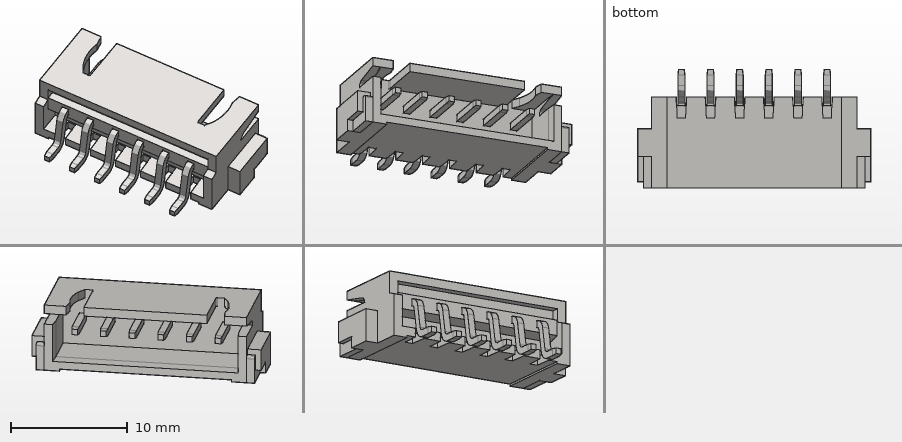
import cadquery as cq
import math


HOUSING_WIDTH = 17.65
HOUSING_DEPTH = 7.85
HOUSING_HEIGHT = 5.95
SHOULDER_SETBACK = 0.72
SHOULDER_TOP = 3.98
SHOULDER_EDGE = 3.75
SIDE_WALL = 0.85
ROOF = 0.78
FLOOR_TOP = 0.95
BASE_RELIEF = 0.18
BASE_RELIEF_WIDTH = 15.0
INNER_WIDTH = HOUSING_WIDTH - 2 * SIDE_WALL
CEILING = HOUSING_HEIGHT - ROOF

BAR_FACE = 0.75
BAR_BOTTOM = 2.78
BAR_TOP = 4.15
UPPER_RECESS_DEPTH = 1.5
LOWER_RECESS_DEPTH = 1.92
LOWER_RECESS_TOP = 2.45

CAVITY_BACK = 3.38
LEAD_IN_LENGTH = 0.95
LEAD_IN = 0.1

KEY_INNER_X = 5.35
KEY_MOUTH_X = 6.9
KEY_NECK_X = 6.75
KEY_BULGE_X = 6.88
KEY_BULGE_Y = 5.88
KEY_TAPER_X = 6.5
KEY_TAPER_Y = 4.1
KEY_END_X = 6.08
KEY_NECK_Y = HOUSING_DEPTH - LEAD_IN_LENGTH
KEY_CORNER_RADIUS = 0.1

NOTCH_BOTTOM = 4.22
NOTCH_END = 4.92
NOTCH_SLOPE_END = 5.35
NOTCH_SLOPE_TOP = 4.75
NOTCH_BULGE_Y = 5.05
NOTCH_BULGE_Z = 4.55

OVERALL_WIDTH = 20.0
WING_BACK = 2.72
WING_FRONT = 7.3
WING_HEIGHT = 2.9
TAB_OUTER_X = 9.52
TAB_HEIGHT = 2.4
TAB_FOOT_BACK = 5.12
TAB_FOOT_HEIGHT = 1.02
TAB_ROUND = 0.18

PIN_COUNT = 6
PIN_PITCH = 2.5
PIN_SIZE = 0.62
PIN_TOP = 3.8
PIN_FRONT = 7.35
PIN_FOOT_END = -2.35
PIN_TIP_LENGTH = 0.48
PIN_TIP_SIZE = 0.5
PIN_BEND_START = 0.8
PIN_BEND_RADIUS = 0.38
PIN_LEG_ANGLE = 79.0
PIN_XS = [(i - (PIN_COUNT - 1) / 2) * PIN_PITCH for i in range(PIN_COUNT)]

GAP_WIDTH_OUTSIDE = 0.88
GAP_WIDTH_INSIDE = 0.72
GAP_DEPTH = 1.8


def box(x, y, z):
    """Box from (low, high) pairs along each axis."""
    lows, highs = zip(x, y, z)
    sizes = [high - low for low, high in zip(lows, highs)]
    return cq.Workplane().box(*sizes, centered=False).translate(lows)


def side_profile(points, width):
    """Closed (Y, Z) outline extruded to a width that is centred on X = 0."""
    return cq.Workplane("YZ").polyline(points).close().extrude(width / 2, both=True)


def make_shell():
    return side_profile(
        [
            (0, 0),
            (HOUSING_DEPTH, 0),
            (HOUSING_DEPTH, HOUSING_HEIGHT),
            (SHOULDER_SETBACK, HOUSING_HEIGHT),
            (SHOULDER_SETBACK, SHOULDER_TOP),
            (0, SHOULDER_EDGE),
        ],
        HOUSING_WIDTH,
    )


def make_solder_recess():
    return side_profile(
        [
            (0, FLOOR_TOP),
            (LOWER_RECESS_DEPTH, FLOOR_TOP),
            (LOWER_RECESS_DEPTH, LOWER_RECESS_TOP),
            (BAR_FACE, BAR_BOTTOM),
            (BAR_FACE, BAR_TOP),
            (UPPER_RECESS_DEPTH, BAR_TOP),
            (UPPER_RECESS_DEPTH, CEILING),
            (0, CEILING),
        ],
        INNER_WIDTH,
    )


def make_cavity():
    """Mating cavity with a lead-in on its floor and side walls."""
    half_width = INNER_WIDTH / 2
    room = box((-half_width, half_width), (CAVITY_BACK, HOUSING_DEPTH), (FLOOR_TOP, CEILING))
    mouth_height = CEILING - FLOOR_TOP + LEAD_IN
    lead_in = (
        cq.Workplane("XZ", origin=(0, KEY_NECK_Y, (FLOOR_TOP + CEILING) / 2))
        .rect(INNER_WIDTH, CEILING - FLOOR_TOP)
        .workplane(offset=-LEAD_IN_LENGTH)
        .center(0, -LEAD_IN / 2)
        .rect(INNER_WIDTH + 2 * LEAD_IN, mouth_height)
        .loft(combine=True)
    )
    return room.union(lead_in)


def make_key_slot():
    """Key slot on the +X side, cut down through the roof."""
    return (
        cq.Workplane("XY", origin=(0, 0, CEILING))
        .moveTo(KEY_INNER_X, HOUSING_DEPTH)
        .lineTo(KEY_MOUTH_X, HOUSING_DEPTH)
        .lineTo(KEY_NECK_X, KEY_NECK_Y)
        .threePointArc((KEY_BULGE_X, KEY_BULGE_Y), (KEY_TAPER_X, KEY_TAPER_Y))
        .lineTo(KEY_END_X, CAVITY_BACK)
        .lineTo(KEY_INNER_X, CAVITY_BACK)
        .close()
        .extrude(ROOF)
        .edges(cq.selectors.NearestToPointSelector((KEY_INNER_X, CAVITY_BACK, CEILING + ROOF / 2)))
        .fillet(KEY_CORNER_RADIUS)
    )


def make_side_notches():
    return (
        cq.Workplane("YZ")
        .moveTo(HOUSING_DEPTH, NOTCH_BOTTOM)
        .lineTo(NOTCH_END, NOTCH_BOTTOM)
        .threePointArc((NOTCH_BULGE_Y, NOTCH_BULGE_Z), (NOTCH_SLOPE_END, NOTCH_SLOPE_TOP))
        .lineTo(HOUSING_DEPTH, CEILING)
        .close()
        .extrude(HOUSING_WIDTH / 2, both=True)
    )


def make_floor_gap():
    """Gap in the floor under a pin at X = 0, narrowing inward."""
    outside = GAP_WIDTH_OUTSIDE / 2
    inside = GAP_WIDTH_INSIDE / 2
    corners = [(-outside, 0), (outside, 0), (inside, GAP_DEPTH), (-inside, GAP_DEPTH)]
    return cq.Workplane("XY").polyline(corners).close().extrude(FLOOR_TOP)


def make_wing():
    """Wing on the +X side, cut away over the foot of the solder tab."""
    span = (HOUSING_WIDTH / 2, OVERALL_WIDTH / 2)
    wing = box(span, (WING_BACK, WING_FRONT), (0, WING_HEIGHT))
    return wing.cut(box(span, (TAB_FOOT_BACK, WING_FRONT), (0, TAB_FOOT_HEIGHT)))


def make_housing():
    """Housing with a close-fitting hole for each pin."""
    wing = make_wing()
    key_slot = make_key_slot()
    body = make_shell().union(wing).union(wing.mirror("YZ"))
    body = body.cut(make_solder_recess()).cut(make_cavity()).cut(make_side_notches())
    body = body.cut(key_slot).cut(key_slot.mirror("YZ"))
    half_relief = BASE_RELIEF_WIDTH / 2
    body = body.cut(box((-half_relief, half_relief), (0, HOUSING_DEPTH), (0, BASE_RELIEF)))
    for x in PIN_XS:
        body = body.cut(make_floor_gap().translate((x, 0, 0)))
        body = body.cut(make_pin().translate((x, 0, 0)))
    return body


def make_solder_tab():
    """L-shaped tab on the +X side, wrapped around the front and underside of the wing."""
    span = (HOUSING_WIDTH / 2, TAB_OUTER_X)
    upright = box(span, (WING_FRONT, HOUSING_DEPTH), (0, TAB_HEIGHT))
    upright = upright.edges("|X and >Y and >Z").fillet(TAB_ROUND)
    return upright.union(box(span, (TAB_FOOT_BACK, WING_FRONT), (0, TAB_FOOT_HEIGHT)))


def make_pin_tip(y, z, direction):
    """Square tip that narrows along +Y or -Y, from its root centre at (0, y, z)."""
    return (
        cq.Workplane(cq.Plane((0, y, z), xDir=(1, 0, 0), normal=(0, direction, 0)))
        .rect(PIN_SIZE, PIN_SIZE)
        .workplane(offset=PIN_TIP_LENGTH)
        .rect(PIN_TIP_SIZE, PIN_TIP_SIZE)
        .loft(combine=True)
    )


def make_pin():
    """Square pin at X = 0: shank through the bar, steep leg, and foot on the board."""
    half_size = PIN_SIZE / 2
    shank_z = PIN_TOP - half_size
    foot_z = half_size
    bend_radius = PIN_BEND_RADIUS + half_size
    turn = math.radians(PIN_LEG_ANGLE)
    bend_run = bend_radius * math.sin(turn)
    bend_drop = bend_radius * (1 - math.cos(turn))
    half_run = bend_radius * math.sin(turn / 2)
    half_drop = bend_radius * (1 - math.cos(turn / 2))
    leg_run = (shank_z - foot_z - 2 * bend_drop) / math.tan(turn)
    foot_start = PIN_BEND_START - 2 * bend_run - leg_run

    shank_end = PIN_FRONT - PIN_TIP_LENGTH
    foot_end = PIN_FOOT_END + PIN_TIP_LENGTH
    path = (
        cq.Workplane("YZ")
        .moveTo(shank_end, shank_z)
        .lineTo(PIN_BEND_START, shank_z)
        .threePointArc(
            (PIN_BEND_START - half_run, shank_z - half_drop),
            (PIN_BEND_START - bend_run, shank_z - bend_drop),
        )
        .lineTo(foot_start + bend_run, foot_z + bend_drop)
        .threePointArc((foot_start + half_run, foot_z + half_drop), (foot_start, foot_z))
        .lineTo(foot_end, foot_z)
    )
    wire = cq.Workplane("XZ", origin=(0, shank_end, shank_z)).rect(PIN_SIZE, PIN_SIZE).sweep(path)
    wire = wire.union(make_pin_tip(shank_end, shank_z, 1))
    return wire.union(make_pin_tip(foot_end, foot_z, -1))


housing = make_housing()
pins = [make_pin().translate((x, 0, 0)) for x in PIN_XS]
right_tab = make_solder_tab()
solder_tabs = [right_tab, right_tab.mirror("YZ")]

result = cq.Compound.makeCompound(
    [housing.val(), *[pin.val() for pin in pins], *[tab.val() for tab in solder_tabs]]
)